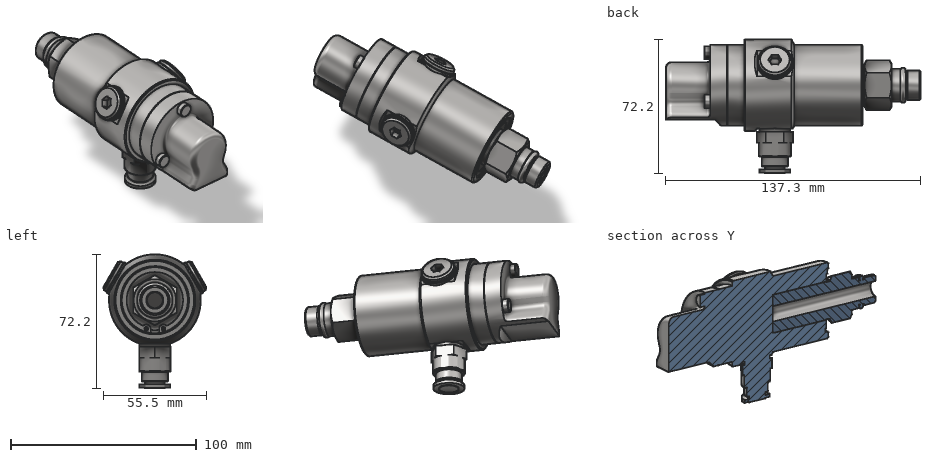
import cadquery as cq
import math


sleeve_front_x = 31.3
sleeve_radius = 21.9
sleeve_chamfer = 0.8
band_start_x = 68.1
band_end_x = 95.2
band_radius = 24.75
band_front_chamfer_angle = 60
band_rear_chamfer = 0.6
flange_joint_x = 104.2
flange_joint_groove = 0.2
flange_end_x = 113.5

recess_radius = 17.75
recess_mouth_chamfer = 0.7
recess_floor_radius = 16.1
recess_floor_depth = 1.4
ring_face_depth = 0.7
ring_thickness = 1.2
ring_inner_radius = 15.2
ring_gap_half_width = 2.3
ring_lug_y = 4.6
ring_lug_z = -15.35
ring_lug_radius = 2.3
ring_hole_diameter = 1.98

port_x = 78.6
port_flat_end_x = 88.2
port_flat_distance = 23.4
port_root_length = 1.0
plug_tilts = (60, -60)
fitting_tilt = 180

plug_washer_radius = 9.5
plug_washer_top = 24.5
plug_neck_radius = 8.5
plug_neck_top = 24.7
plug_head_radius = 9.0
plug_head_top = 27.5
plug_face_radius = 7.9
plug_socket_across_flats = 6.0
plug_socket_depth = 6.0

fitting_washer_diameter = 16.8
fitting_washer_bottom = 25.1
fitting_across_flats = 17.0
fitting_hex_bottom = 31.0
fitting_body_diameter = 17.5
fitting_body_bottom = 38.5
fitting_body_chamfer = 0.5
fitting_collar_diameter = 14.3
fitting_collar_bottom = 43.8
fitting_collar_chamfer = 0.35
release_neck_diameter = 10.8
release_flange_diameter = 16.8
release_flange_top = 45.3
release_flange_bottom = 47.1
fitting_bottom = 47.45

rear_end_x = 137.31
boss_radius = 12.5
boss_base_fillet = 1.5
boss_end_fillet = 3.3
neck_top_z = -4.2
neck_bottom_z = -7.1
foot_slope_top_z = -11.3
foot_slope_bottom_z = -14.6
foot_slope_lean = math.radians(28.5)
foot_side_z = -17.0
foot_bottom_z = -18.7
flange_flat_start_x = 110.6

cutter_margin = 1.0

screw_count = 3
screw_circle_radius = 17.5
screw_head_diameter = 7.2
screw_head_length = 3.2
screw_head_chamfer = 0.3

nose_diameter = 16.0
nose_chamfer = 0.9
nose_end_x = 8.0
oring_x = 9.6
oring_section_radius = 1.4
oring_outer_diameter = 19.0
groove_diameter = 13.9
shoulder_start_x = 11.1
shoulder_diameter = 18.0
hex_start_x = 15.7
hex_end_x = 30.4
hex_across_flats = 23.4
hex_face_diameter = 22.8
hex_chamfer_angle = 30
journal_diameter = 21.6
journal_end_x = band_start_x
rotor_bore_diameter = 8.5
rotor_bore_chamfer = 0.4


def revolve_about_x(points):
    """Solid of revolution from (x, radius) points, closed along the X axis."""
    outline = [(points[0][0], 0)] + points + [(points[-1][0], 0)]
    return cq.Workplane("XY").polyline(outline).close().revolve(360, (0, 0, 0), (1, 0, 0))


def rod_x(start_x, end_x, radius):
    return cq.Workplane("YZ", origin=(start_x, 0, 0)).circle(radius).extrude(end_x - start_x)


def disc_down(top, bottom, diameter):
    """Disc on the fitting axis between two depths below the housing axis."""
    return cq.Workplane("XY", origin=(port_x, 0, -bottom)).circle(diameter / 2).extrude(bottom - top)


def make_shell():
    front_x = sleeve_front_x
    band_rise = band_radius - sleeve_radius
    band_front_chamfer_length = band_rise / math.tan(math.radians(band_front_chamfer_angle))
    joint_bottom = sleeve_radius - flange_joint_groove
    return revolve_about_x([
        (front_x, sleeve_radius - sleeve_chamfer),
        (front_x + sleeve_chamfer, sleeve_radius),
        (band_start_x, sleeve_radius),
        (band_start_x + band_front_chamfer_length, band_radius),
        (band_end_x - band_rear_chamfer, band_radius),
        (band_end_x, band_radius - band_rear_chamfer),
        (band_end_x, sleeve_radius),
        (flange_joint_x - flange_joint_groove, sleeve_radius),
        (flange_joint_x, joint_bottom),
        (flange_joint_x + flange_joint_groove, sleeve_radius),
        (flange_end_x, sleeve_radius),
    ])


def make_front_recess():
    """Recess whose rim, seating the retaining ring, is deeper than its round floor."""
    front_x = sleeve_front_x
    floor_x = front_x + recess_floor_depth
    seat_x = front_x + ring_face_depth + ring_thickness
    recess = revolve_about_x([
        (front_x, recess_radius + recess_mouth_chamfer),
        (front_x + recess_mouth_chamfer, recess_radius),
        (seat_x, recess_radius),
    ])
    return recess.cut(rod_x(floor_x, seat_x, recess_floor_radius))


def make_retaining_ring():
    face_x = sleeve_front_x + ring_face_depth
    plane = cq.Workplane("YZ", origin=(face_x, 0, 0))
    ring = plane.circle(recess_radius).circle(ring_inner_radius).extrude(ring_thickness)
    lug_centers = [(-ring_lug_y, ring_lug_z), (ring_lug_y, ring_lug_z)]
    lugs = plane.pushPoints(lug_centers).circle(ring_lug_radius).extrude(ring_thickness)
    gap_plane = plane.center(0, -recess_radius)
    gap = gap_plane.rect(2 * ring_gap_half_width, recess_radius / 2).extrude(ring_thickness)
    holes = (
        cq.Workplane("YZ", origin=(face_x, 0, 0))
        .pushPoints(lug_centers)
        .circle(ring_hole_diameter / 2)
        .extrude(ring_thickness)
    )
    bore_limit = rod_x(face_x, face_x + ring_thickness, recess_radius)
    return ring.union(lugs).cut(gap).cut(holes).intersect(bore_limit)


def make_flat_cutter():
    """Cutter above the flat height, running from the band front to a 45 degree run-out."""
    distance = port_flat_distance
    reach = band_radius - distance + cutter_margin
    width = 2 * band_radius
    return (
        cq.Workplane("XZ", origin=(0, width / 2, 0))
        .polyline([
            (band_start_x, distance),
            (port_flat_end_x, distance),
            (port_flat_end_x + reach, distance + reach),
            (band_start_x, distance + reach),
        ])
        .close()
        .extrude(width)
    )


def make_plug():
    """Port plug standing along +Z above the flat, to be tilted into place."""
    def disc(bottom, top, radius):
        return cq.Workplane("XY", origin=(port_x, 0, bottom)).circle(radius).extrude(top - bottom)

    root = port_flat_distance - port_root_length
    head = disc(plug_neck_top, plug_head_top, plug_head_radius)
    head = head.faces(">Z").chamfer(plug_head_radius - plug_face_radius)
    socket_corners = plug_socket_across_flats / math.cos(math.pi / 6)
    socket = (
        cq.Workplane("XY", origin=(port_x, 0, plug_head_top - plug_socket_depth))
        .polygon(6, socket_corners)
        .extrude(plug_socket_depth)
    )
    washer = disc(root, plug_washer_top, plug_washer_radius)
    neck = disc(root, plug_neck_top, plug_neck_radius)
    return washer.union(neck).union(head).cut(socket)


def make_fitting():
    corners = fitting_across_flats / math.cos(math.pi / 6)
    hex_prism = (
        cq.Workplane("XY", origin=(port_x, 0, -fitting_body_bottom))
        .polygon(6, corners)
        .extrude(fitting_body_bottom - fitting_washer_bottom)
    )
    lower_round = disc_down(fitting_hex_bottom, fitting_body_bottom, fitting_body_diameter)
    lower_round = lower_round.faces("<Z").chamfer(fitting_body_chamfer)
    upper_clear = disc_down(fitting_washer_bottom, fitting_hex_bottom, corners)
    body = hex_prism.intersect(lower_round.union(upper_clear))
    washer = disc_down(port_flat_distance - port_root_length, fitting_washer_bottom, fitting_washer_diameter)
    collar = disc_down(fitting_body_bottom, fitting_collar_bottom, fitting_collar_diameter)
    collar = collar.faces("<Z or >Z").chamfer(fitting_collar_chamfer)
    neck = disc_down(fitting_collar_bottom, fitting_bottom, release_neck_diameter)
    flange = disc_down(release_flange_top, release_flange_bottom, release_flange_diameter)
    return washer.union(body).union(collar).union(neck).union(flange)


def make_boss_outline():
    """Keyhole outline: round top, tangent neck, and a foot flaring out to vertical sides."""
    neck_lean = math.asin(-neck_top_z / boss_radius)

    neck_top_y = boss_radius * math.cos(neck_lean)
    neck_bottom_y = neck_top_y - (neck_top_z - neck_bottom_z) * math.tan(neck_lean)

    hollow_radius = (neck_bottom_z - foot_slope_top_z) / (math.sin(neck_lean) + math.sin(foot_slope_lean))
    hollow_center_y = neck_bottom_y + hollow_radius * math.cos(neck_lean)
    hollow_center_z = neck_bottom_z - hollow_radius * math.sin(neck_lean)
    slope_top_y = hollow_center_y - hollow_radius * math.cos(foot_slope_lean)

    slope_bottom_y = slope_top_y + (foot_slope_top_z - foot_slope_bottom_z) * math.tan(foot_slope_lean)
    shoulder_radius = (foot_slope_bottom_z - foot_side_z) / math.sin(foot_slope_lean)
    foot_half_width = slope_bottom_y + shoulder_radius * (1 - math.cos(foot_slope_lean))
    shoulder_mid_y = foot_half_width - shoulder_radius * (1 - math.cos(foot_slope_lean / 2))
    shoulder_mid_z = foot_side_z + shoulder_radius * math.sin(foot_slope_lean / 2)

    crown_mid_angle = (math.pi / 2 - neck_lean) / 2
    crown_mid = (boss_radius * math.cos(crown_mid_angle), boss_radius * math.sin(crown_mid_angle))
    return (
        cq.Workplane("YZ", origin=(flange_end_x, 0, 0))
        .moveTo(0, boss_radius)
        .threePointArc(crown_mid, (neck_top_y, neck_top_z))
        .lineTo(neck_bottom_y, neck_bottom_z)
        .threePointArc((hollow_center_y - hollow_radius, hollow_center_z), (slope_top_y, foot_slope_top_z))
        .lineTo(slope_bottom_y, foot_slope_bottom_z)
        .threePointArc((shoulder_mid_y, shoulder_mid_z), (foot_half_width, foot_side_z))
        .lineTo(foot_half_width, -sleeve_radius)
        .lineTo(0, -sleeve_radius)
        .mirrorY()
    )


def make_rear_boss():
    """Boss on its flange disc, rounded at the end and at the root."""
    flange_length = flange_end_x - flange_joint_x - flange_joint_groove
    base_size = 4 * sleeve_radius
    body = make_boss_outline().extrude(rear_end_x - flange_end_x).clean()
    body = body.faces(">X").edges().fillet(boss_end_fillet)
    base = cq.Workplane("YZ", origin=(flange_end_x, 0, 0)).rect(base_size, base_size).extrude(-flange_length)
    body = body.union(base)
    root = cq.selectors.BoxSelector(
        (flange_end_x - boss_base_fillet / 2, -sleeve_radius, -sleeve_radius),
        (flange_end_x + boss_base_fillet / 2, sleeve_radius, sleeve_radius),
    )
    body = body.edges(root).fillet(boss_base_fillet)
    return body.intersect(rod_x(flange_end_x - flange_length, rear_end_x, sleeve_radius))


def make_flange_flat():
    """Cutter for the flat under the flange, with a 45 degree run-out at its front."""
    drop = sleeve_radius + foot_bottom_z + cutter_margin
    return (
        cq.Workplane("XZ", origin=(0, sleeve_radius, 0))
        .polyline([
            (flange_flat_start_x, foot_bottom_z),
            (rear_end_x, foot_bottom_z),
            (rear_end_x, foot_bottom_z - drop),
            (flange_flat_start_x - drop, foot_bottom_z - drop),
        ])
        .close()
        .extrude(2 * sleeve_radius)
    )


def make_screw_heads():
    return (
        cq.Workplane("YZ", origin=(flange_end_x, 0, 0))
        .polarArray(screw_circle_radius, 90, 360, screw_count)
        .circle(screw_head_diameter / 2)
        .extrude(screw_head_length)
        .faces(">X")
        .chamfer(screw_head_chamfer)
    )


def make_housing():
    housing = make_shell().cut(make_front_recess()).union(make_rear_boss())
    housing = housing.cut(make_flange_flat())
    housing = housing.union(make_retaining_ring()).union(make_screw_heads())
    housing = housing.cut(rod_x(sleeve_front_x, journal_end_x, journal_diameter / 2))
    for tilt in (*plug_tilts, fitting_tilt):
        housing = housing.cut(make_flat_cutter().rotate((0, 0, 0), (1, 0, 0), tilt))
    for tilt in plug_tilts:
        housing = housing.union(make_plug().rotate((0, 0, 0), (1, 0, 0), tilt))
    return housing.union(make_fitting())


def make_hex():
    corners = hex_across_flats / math.cos(math.pi / 6)
    length = hex_end_x - hex_start_x
    prism = (
        cq.Workplane("YZ", origin=(hex_start_x, 0, 0))
        .polygon(6, corners)
        .extrude(length)
        .rotate((0, 0, 0), (1, 0, 0), 90)
    )
    corner_drop = (corners - hex_face_diameter) / 2
    slope = corner_drop * math.tan(math.radians(hex_chamfer_angle))
    envelope = revolve_about_x([
        (hex_start_x, hex_face_diameter / 2),
        (hex_start_x + slope, corners / 2),
        (hex_end_x - slope, corners / 2),
        (hex_end_x, hex_face_diameter / 2),
    ])
    return prism.intersect(envelope)


def make_rotor():
    nose_radius = nose_diameter / 2
    stem = revolve_about_x([
        (0, nose_radius - nose_chamfer),
        (nose_chamfer, nose_radius),
        (nose_end_x - nose_chamfer, nose_radius),
        (nose_end_x, nose_radius - nose_chamfer),
        (nose_end_x, groove_diameter / 2),
        (shoulder_start_x, groove_diameter / 2),
        (shoulder_start_x, shoulder_diameter / 2),
        (hex_start_x, shoulder_diameter / 2),
        (hex_start_x, journal_diameter / 2),
        (journal_end_x, journal_diameter / 2),
    ])
    oring_center_radius = oring_outer_diameter / 2 - oring_section_radius
    oring = (
        cq.Workplane("XY")
        .center(oring_x, oring_center_radius)
        .circle(oring_section_radius)
        .revolve(360, (0, -oring_center_radius, 0), (1, -oring_center_radius, 0))
    )
    bore_radius = rotor_bore_diameter / 2
    bore = revolve_about_x([
        (0, bore_radius + rotor_bore_chamfer),
        (rotor_bore_chamfer, bore_radius),
        (journal_end_x, bore_radius),
    ])
    return stem.union(make_hex()).union(oring).cut(bore)


housing = make_housing()
rotor = make_rotor()
result = cq.Compound.makeCompound([housing.val(), rotor.val()])